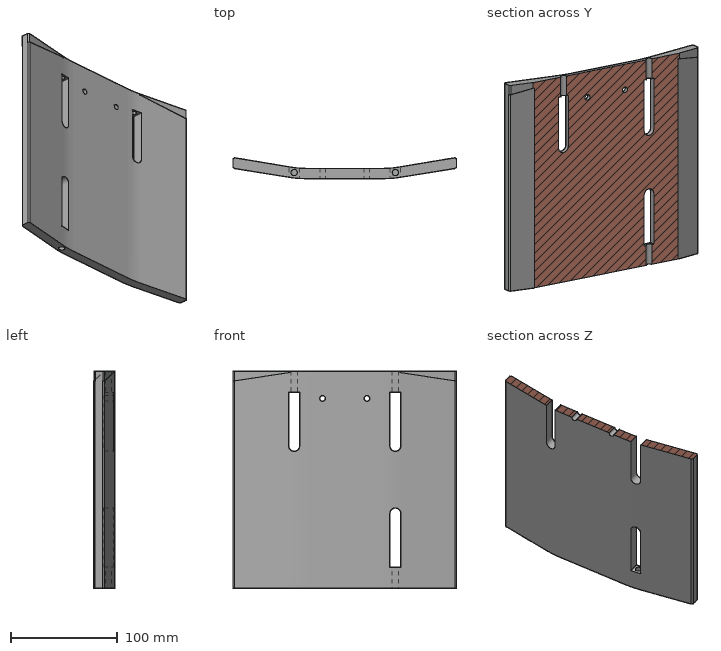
import cadquery as cq
import math

WIDTH = 209.5
HEIGHT = 203.3
CUT_DEPTH = 21.0
THICKNESS = 9.8
WING_ANGLE = math.radians(9.5)
BEND_START = 35.8
BEND_END = 52.4
TIP_CHAMFER = 1.5

SLOT_WIDTH = 10.0
SLOT_X = BEND_END - SLOT_WIDTH / 2
SLOT_END_GAP = 20.0
SLOT_LENGTH = 55.1
SCREW_HOLE_DIAMETER = 5.9
SCREW_HOLE_Y = 5.9

PIN_HOLE_DIAMETER = 5.0
PIN_HOLE_X = 20.7
PIN_HOLE_Z = 177.7

TOP_WING_ANGLE = math.radians(9.1)
TOP_BAND_INNER = 1.5
TOP_BAND_TIP = 9.5

FRONT_RADIUS = (BEND_END - BEND_START) / math.sin(WING_ANGLE)
BACK_RADIUS = FRONT_RADIUS - THICKNESS
HALF_WIDTH = WIDTH / 2


def bend_point(radius, angle):
    """Point on the right-hand bend, at an angle from the flat middle."""
    x = BEND_START + radius * math.sin(angle)
    y = FRONT_RADIUS - radius * math.cos(angle)
    return (x, y)


def wing_y(radius, wing_angle, x):
    """Y of the straight wing face that continues a bend of this radius."""
    bend_x, bend_y = bend_point(radius, wing_angle)
    return bend_y + (x - bend_x) * math.tan(wing_angle)


def make_plate(wing_angle):
    """Bent plate of full height, with chamfered wing tips."""
    chamfer_x = HALF_WIDTH - TIP_CHAMFER
    front_y = wing_y(FRONT_RADIUS, wing_angle, chamfer_x)
    back_y = wing_y(BACK_RADIUS, wing_angle, chamfer_x)
    half = (
        cq.Workplane("XY")
        .lineTo(BEND_START, 0)
        .threePointArc(bend_point(FRONT_RADIUS, wing_angle / 2), bend_point(FRONT_RADIUS, wing_angle))
        .lineTo(chamfer_x, front_y)
        .lineTo(HALF_WIDTH, front_y + TIP_CHAMFER)
        .lineTo(HALF_WIDTH, back_y - TIP_CHAMFER)
        .lineTo(chamfer_x, back_y)
        .lineTo(*bend_point(BACK_RADIUS, wing_angle))
        .threePointArc(bend_point(BACK_RADIUS, wing_angle / 2), (BEND_START, THICKNESS))
        .lineTo(0, THICKNESS)
        .close()
        .extrude(HEIGHT)
    )
    return half.union(half.mirror("YZ"))


def make_top_region():
    """Region above the line where the wing angle changes, cut straight through in Y."""
    inner_z = HEIGHT - TOP_BAND_INNER
    tip_z = HEIGHT - TOP_BAND_TIP
    return (
        cq.Workplane("XZ")
        .polyline([
            (-HALF_WIDTH, tip_z),
            (-BEND_END, inner_z),
            (BEND_END, inner_z),
            (HALF_WIDTH, tip_z),
            (HALF_WIDTH, HEIGHT),
            (-HALF_WIDTH, HEIGHT),
        ])
        .close()
        .extrude(-CUT_DEPTH)
    )


def make_slot(x, from_top):
    """Slot with a square outer end, a round inner end and a screw hole."""
    straight = SLOT_LENGTH - SLOT_WIDTH / 2
    slot = cq.Workplane("XY").box(SLOT_WIDTH, CUT_DEPTH, straight, centered=(True, False, False))
    slot = slot.union(
        cq.Workplane("XZ", origin=(0, 0, straight)).circle(SLOT_WIDTH / 2).extrude(-CUT_DEPTH)
    )
    hole = (
        cq.Workplane("XY", origin=(0, SCREW_HOLE_Y, -SLOT_END_GAP))
        .circle(SCREW_HOLE_DIAMETER / 2)
        .extrude(SLOT_END_GAP + SLOT_WIDTH / 2)
    )
    cutter = slot.union(hole).translate((x, 0, SLOT_END_GAP))
    if from_top:
        cutter = cutter.mirror("XY").translate((0, 0, HEIGHT))
    return cutter


top_region = make_top_region()
result = make_plate(WING_ANGLE).cut(top_region)
result = result.union(make_plate(TOP_WING_ANGLE).intersect(top_region))
for slot_x, slot_from_top in ((-SLOT_X, True), (SLOT_X, True), (SLOT_X, False)):
    result = result.cut(make_slot(slot_x, slot_from_top))
pin_holes = (
    cq.Workplane("XZ")
    .pushPoints([(-PIN_HOLE_X, PIN_HOLE_Z), (PIN_HOLE_X, PIN_HOLE_Z)])
    .circle(PIN_HOLE_DIAMETER / 2)
    .extrude(-THICKNESS)
)
result = result.cut(pin_holes)